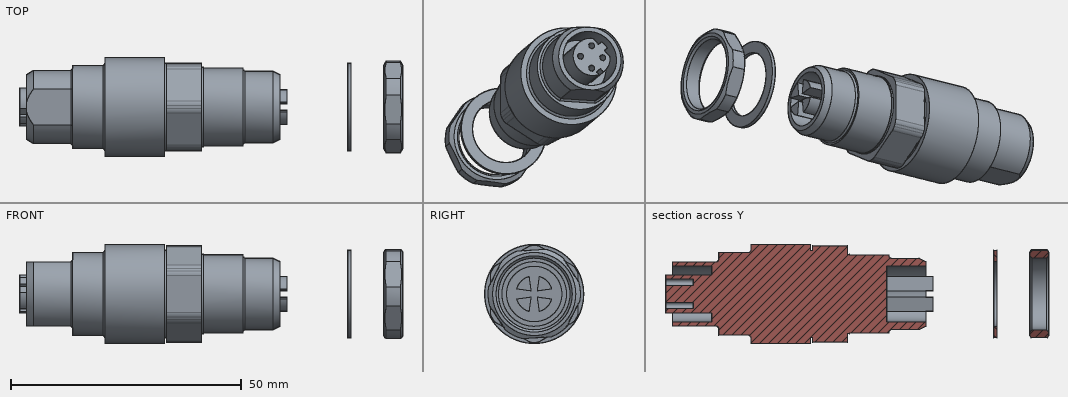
import cadquery as cq
import math


socket_sleeve_start = 1.5
socket_chamfer_end = 3.0
socket_cone_start = 11.1
rear_collar_start = 11.5
rear_cone_start = 18.1
grip_start = 18.5
grip_end = 31.4
hex_start = 31.8
hex_end = 39.4
front_collar_start = 39.8
front_collar_end = 48.4
plug_sleeve_start = 48.8
plug_chamfer_start = 54.9
plug_sleeve_end = 56.4

sleeve_face_diameter = 14.0
socket_sleeve_diameter = 15.9
rear_collar_diameter = 18.0
socket_cone_diameter = 16.8
neck_diameter = 19.0
grip_diameter = 21.5
front_neck_diameter = 17.3
front_collar_diameter = 17.0
plug_sleeve_diameter = 15.5
plug_cone_diameter = 16.2

flat_distance = 6.95
flat_ramp = 0.45

hex_across_flats = 19.0
hex_across_corners = 20.96
hex_corner_radius = 2.0

bore_diameter = 12.0
bore_depth = 8.5
insert_projection = 1.5

socket_diameter = 8.3
socket_floor_radius = 3.15
key_width = 1.85
keyway_width = 1.15
keyway_offset = 0.95
contact_count = 4
contact_hole_diameter = 1.29
contact_circle_radius = 2.5
contact_hole_depth = 6.0

plug_diameter = 7.9
plug_slot_inner_width = 1.15
plug_slot_outer_width = 2.25

washer_start = 71.0
washer_thickness = 0.8
washer_diameter = 19.0
washer_hole_diameter = 14.0

nut_end = 83.0
nut_length = 4.2
nut_across_flats = 19.0
nut_corner_diameter = 20.0
nut_face_diameter = 18.0
nut_turn = 3.3
nut_bore_diameter = 15.5
nut_countersink_diameter = 16.5
nut_chamfer_angle = 30.0


def cross_section(x):
    """Workplane across the axis at x, with local X along +Y and local Y along +Z."""
    return cq.Workplane("YZ", origin=(x, 0, 0))


def disc(x, diameter, length):
    return cross_section(x).circle(diameter / 2).extrude(length)


def revolved(stations):
    """Solid of revolution about X through (x, diameter) stations."""
    first_x = stations[0][0]
    last_x = stations[-1][0]
    outline = [(x, diameter / 2) for x, diameter in stations]
    profile = cq.Workplane("XY").polyline([(first_x, 0), *outline, (last_x, 0)]).close()
    return profile.revolve(360, (0, 0, 0), (1, 0, 0))


def hexagon(x, across_flats, length):
    """Hexagonal prism with one pair of flats facing +Y and -Y."""
    corner_diameter = across_flats / math.cos(math.pi / 6)
    return cross_section(x).transformed(rotate=(0, 0, 30)).polygon(6, corner_diameter).extrude(length)


def wrench_hexagon():
    """Hexagon whose corners are cut flat and then rounded along their edges."""
    length = hex_end - hex_start
    corner_cutter = hexagon(hex_start, hex_across_corners, length).rotate((0, 0, 0), (1, 0, 0), 30)
    prism = hexagon(hex_start, hex_across_flats, length).intersect(corner_cutter)
    return prism.edges("|X").fillet(hex_corner_radius)


def cut_socket_flats(body):
    """Two flats facing +Z and -Z that ramp outwards at the rear collar."""
    clear = grip_diameter / 2
    for side in (1, -1):
        outline = [
            (0, side * flat_distance),
            (socket_cone_start, side * flat_distance),
            (rear_collar_start, side * (flat_distance + flat_ramp)),
            (rear_collar_start, side * clear),
            (0, side * clear),
        ]
        cutter = cq.Workplane("XZ").polyline(outline).close().extrude(clear, both=True)
        body = body.cut(cutter)
    return body


def shell():
    body = revolved([
        (socket_sleeve_start, sleeve_face_diameter),
        (socket_chamfer_end, socket_sleeve_diameter),
        (socket_cone_start, socket_sleeve_diameter),
        (rear_collar_start, socket_cone_diameter),
        (rear_collar_start, rear_collar_diameter),
        (rear_cone_start, rear_collar_diameter),
        (grip_start, neck_diameter),
        (grip_start, grip_diameter),
        (grip_end, grip_diameter),
        (grip_end, neck_diameter),
        (hex_start, neck_diameter),
        (hex_start, front_neck_diameter),
        (front_collar_start, front_neck_diameter),
        (front_collar_start, front_collar_diameter),
        (front_collar_end, front_collar_diameter),
        (front_collar_end, plug_cone_diameter),
        (plug_sleeve_start, plug_sleeve_diameter),
        (plug_chamfer_start, plug_sleeve_diameter),
        (plug_sleeve_end, sleeve_face_diameter),
    ])
    body = cut_socket_flats(body)
    body = body.union(wrench_hexagon())
    body = body.cut(disc(socket_sleeve_start, bore_diameter, bore_depth))
    return body.cut(disc(plug_sleeve_end, bore_diameter, -bore_depth))


def socket_insert():
    """Round insert with a key, a keyway and a ring of contact holes in its tip."""
    length = bore_depth + insert_projection
    rim = socket_diameter / 2
    step = rim - socket_floor_radius
    step_middle = (rim + socket_floor_radius) / 2

    insert = disc(0, socket_diameter, length)
    flat = cross_section(0).center(0, step_middle).rect(socket_diameter, step).extrude(length)
    key = cross_section(0).center(0, step_middle).rect(key_width, step).extrude(length)
    insert = insert.cut(flat.cut(key).rotate((0, 0, 0), (1, 0, 0), 45))
    keyway = cross_section(0).center(keyway_offset, -step_middle).rect(keyway_width, step).extrude(length)
    insert = insert.cut(keyway.rotate((0, 0, 0), (1, 0, 0), -45))

    holes = cross_section(0).polarArray(contact_circle_radius, 0, 360, contact_count)
    return insert.cut(holes.circle(contact_hole_diameter / 2).extrude(contact_hole_depth))


def plug_insert():
    """Round insert split into quarters by four slots that widen outwards."""
    length = bore_depth + insert_projection
    start = plug_sleeve_end - bore_depth
    rim = plug_diameter / 2
    slot_inner = plug_slot_inner_width / 2
    slot_outer = plug_slot_outer_width / 2
    outline = [(-slot_inner, 0), (slot_inner, 0), (slot_outer, rim), (-slot_outer, rim)]

    insert = disc(start, plug_diameter, length)
    slot = cross_section(start).polyline(outline).close().extrude(length)
    for quarter in range(4):
        insert = insert.cut(slot.rotate((0, 0, 0), (1, 0, 0), 90 * quarter))
    return insert


def make_connector():
    return shell().union(socket_insert()).union(plug_insert())


def make_washer():
    return disc(washer_start, washer_diameter, washer_thickness).cut(
        disc(washer_start, washer_hole_diameter, washer_thickness))


def make_nut():
    """Hexagon nut with rounded corners, chamfered outside and countersunk inside."""
    start = nut_end - nut_length
    chamfer = (nut_corner_diameter - nut_face_diameter) / 2 * math.tan(math.radians(nut_chamfer_angle))
    countersink = (nut_countersink_diameter - nut_bore_diameter) / 2

    envelope = revolved([
        (start, nut_face_diameter),
        (start + chamfer, nut_corner_diameter),
        (nut_end - chamfer, nut_corner_diameter),
        (nut_end, nut_face_diameter),
    ])
    bore = revolved([
        (start, nut_countersink_diameter),
        (start + countersink, nut_bore_diameter),
        (nut_end - countersink, nut_bore_diameter),
        (nut_end, nut_countersink_diameter),
    ])
    prism = hexagon(start, nut_across_flats, nut_length)
    prism = prism.rotate((0, 0, 0), (1, 0, 0), 30 + nut_turn)
    return prism.intersect(envelope).cut(bore)


connector = make_connector()
washer = make_washer()
nut = make_nut()

result = cq.Compound.makeCompound([connector.val(), washer.val(), nut.val()])